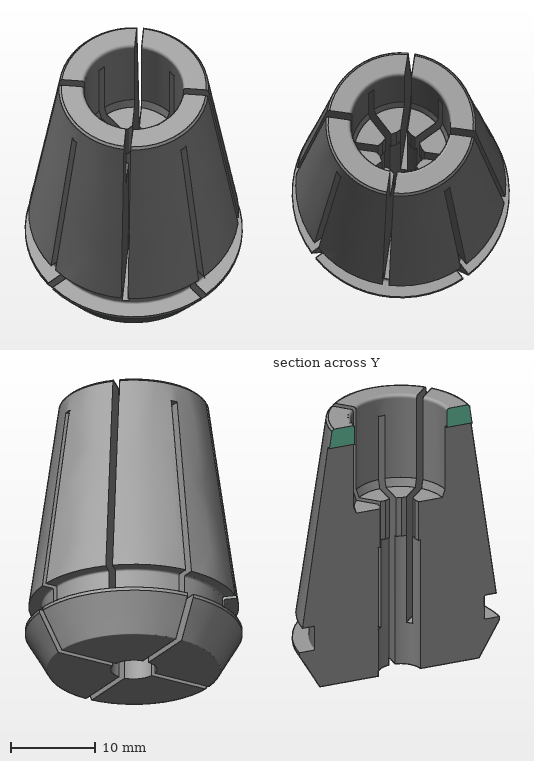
import cadquery as cq
import math

total_height = 34.0
seat_angle = 8.0
taper_top_radius = 8.9
top_chamfer = 0.27

flange_radius = 12.92
flange_angle = 30.0
rim_bottom = 4.6
rim_top = 5.0
groove_radius = 10.95
groove_top = 8.15
groove_fillet = 0.25
nose_fillet = 0.15

shank_radius = 2.75
socket_bottom = 17.0
socket_width = 4.52
socket_pilot_radius = 2.48
relief_floor = 22.1
relief_floor_radius = 5.55
relief_floor_angle = 20.0
relief_radius = 5.9
mouth_fillet = 0.4

slot_width = 0.8
lower_slot_top = 31.45
upper_slot_floor = 5.5


def tan_deg(angle):
    return math.tan(math.radians(angle))


def turned_body():
    taper_top = total_height - top_chamfer
    taper_bottom_radius = taper_top_radius + (taper_top - groove_top) * tan_deg(seat_angle)
    nose_radius = flange_radius - rim_bottom * tan_deg(flange_angle)
    body = (
        cq.Workplane("XZ")
        .moveTo(0, 0)
        .lineTo(nose_radius, 0)
        .lineTo(flange_radius, rim_bottom)
        .lineTo(flange_radius, rim_top)
        .lineTo(groove_radius + groove_fillet, rim_top)
        .radiusArc((groove_radius, rim_top + groove_fillet), groove_fillet)
        .lineTo(groove_radius, groove_top - groove_fillet)
        .radiusArc((groove_radius + groove_fillet, groove_top), groove_fillet)
        .lineTo(taper_bottom_radius, groove_top)
        .lineTo(taper_top_radius, taper_top)
        .lineTo(taper_top_radius - top_chamfer, total_height)
        .lineTo(0, total_height)
        .close()
        .revolve(360, (0, 0, 0), (0, 1, 0))
    )
    return body.faces("<Z").edges("%CIRCLE").fillet(nose_fillet)


def relief_bore():
    cone_top = relief_floor + (relief_radius - relief_floor_radius) / tan_deg(relief_floor_angle)
    return (
        cq.Workplane("XZ")
        .moveTo(0, relief_floor)
        .lineTo(relief_floor_radius, relief_floor)
        .lineTo(relief_radius, cone_top)
        .lineTo(relief_radius, total_height - mouth_fillet)
        .radiusArc((relief_radius + mouth_fillet, total_height), mouth_fillet)
        .lineTo(0, total_height)
        .close()
        .revolve(360, (0, 0, 0), (0, 1, 0))
    )


def shank_bore():
    return cq.Workplane("XY").circle(shank_radius).extrude(socket_bottom)


def drive_socket():
    depth = relief_floor - socket_bottom
    base = cq.Workplane("XY", origin=(0, 0, socket_bottom))
    square = base.rect(socket_width, socket_width).extrude(depth)
    return square.union(base.circle(socket_pilot_radius).extrude(depth))


def radial_slots(bottom, top, first_angle):
    """One cutter for evenly spaced radial slots that span the given heights."""
    length = 2 * flange_radius + slot_width
    bar = cq.Workplane("XY").box(length, slot_width, top - bottom).translate((0, 0, (bottom + top) / 2))
    first = bar.rotate((0, 0, 0), (0, 0, 1), first_angle)
    second = bar.rotate((0, 0, 0), (0, 0, 1), first_angle + 90)
    return first.union(second)


result = turned_body()
for bore_section in (shank_bore(), drive_socket(), relief_bore()):
    result = result.cut(bore_section)
result = result.cut(radial_slots(0, lower_slot_top, 0))
result = result.cut(radial_slots(upper_slot_floor, total_height, 45))